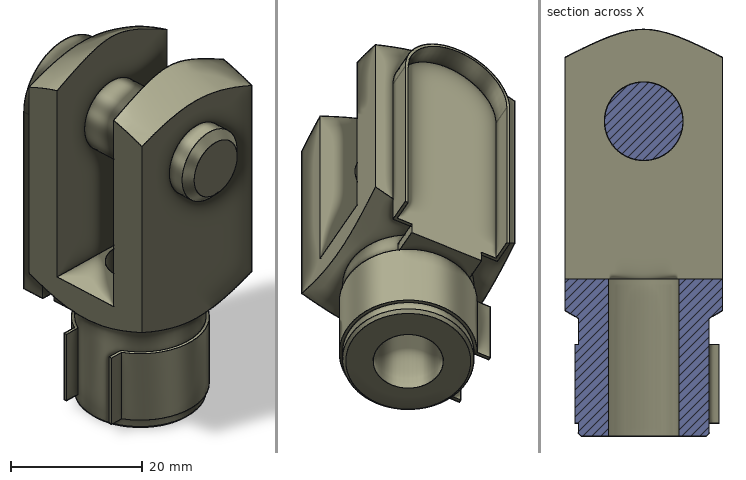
import cadquery as cq
import math

total_height = 62.0
fork_width = 24.0
slot_width = fork_width / 2
slot_floor_z = 24.0
cone_angle = math.radians(30)
neck_diameter = 20.0
neck_height = 18.0
neck_chamfer = 0.5
bore_diameter = 10.65

pin_diameter = slot_width
pin_z = 48.0
pin_end_x = 16.0
pin_chamfer = 1.3

sheet = 0.5
channel_width = 18.0
channel_depth = 4.0
channel_bottom_z = 16.0
tab_width = 12.0
band_bottom_z = 2.0
band_top_z = 14.0
lip_outer_x = 5.0
lip_end_y = 11.5

neck_radius = neck_diameter / 2
half_width = fork_width / 2


def make_fork():
    """Square bar with conical ends, a round neck, a through slot and a bore."""
    corner_radius = half_width * math.sqrt(2)
    tip_radius = slot_width / 2
    slope = math.tan(cone_angle)
    bottom_corner_z = neck_height + (corner_radius - neck_radius) * slope
    top_corner_z = total_height - (corner_radius - tip_radius) * slope
    cone_envelope = (
        cq.Workplane("XZ")
        .moveTo(0, neck_height)
        .lineTo(neck_radius, neck_height)
        .lineTo(corner_radius, bottom_corner_z)
        .lineTo(corner_radius, top_corner_z)
        .lineTo(tip_radius, total_height)
        .lineTo(0, total_height)
        .close()
        .revolve(360, (0, 0, 0), (0, 1, 0))
    )
    bar = cq.Workplane("XY").box(fork_width, fork_width, total_height, centered=(True, True, False))
    neck = cq.Workplane("XY").circle(neck_radius).extrude(neck_height).faces("<Z").chamfer(neck_chamfer)
    slot = (
        cq.Workplane("XY", origin=(0, 0, slot_floor_z))
        .rect(slot_width, fork_width)
        .extrude(total_height - slot_floor_z)
    )
    bore = cq.Workplane("XY").circle(bore_diameter / 2).extrude(slot_floor_z)
    return bar.intersect(cone_envelope).union(neck).cut(slot).cut(bore)


def make_pin():
    """Round pin from the outer -X face of the fork to its chamfered free end."""
    return (
        cq.Workplane("YZ", origin=(-half_width, 0, pin_z))
        .circle(pin_diameter / 2)
        .extrude(half_width + pin_end_x)
        .faces(">X")
        .chamfer(pin_chamfer)
    )


def arched_plate(start_x, width, bottom_z, depth):
    """Plate with a half-round top around the pin axis, running from start_x toward -X."""
    radius = width / 2
    return (
        cq.Workplane("YZ", origin=(start_x, 0, 0))
        .moveTo(-radius, bottom_z)
        .lineTo(-radius, pin_z)
        .threePointArc((0, pin_z + radius), (radius, pin_z))
        .lineTo(radius, bottom_z)
        .close()
        .extrude(-depth)
    )


def make_channel():
    """Arched channel on the -X face of the fork, open toward -X and at the bottom."""
    outside = arched_plate(-half_width, channel_width, channel_bottom_z, channel_depth)
    inside = arched_plate(
        -half_width - sheet, channel_width - 2 * sheet, channel_bottom_z, channel_depth - sheet
    )
    return outside.cut(inside)


def make_tab():
    """Tab that joins the channel floor to the neck, just above the band."""
    length = half_width + sheet
    height = channel_bottom_z - band_top_z
    base = cq.Workplane("XY", origin=(0, 0, band_top_z))
    neck_space = base.circle(neck_radius).extrude(height)
    return base.center(-length / 2, 0).rect(length, tab_width).extrude(height).cut(neck_space)


def make_band():
    """Band around the neck, open toward -Y, with a straight lip at each end."""
    height = band_top_z - band_bottom_z
    base = cq.Workplane("XY", origin=(0, 0, band_bottom_z))
    gap_half_width = lip_outer_x - sheet
    gap = base.center(0, -half_width / 2).rect(2 * gap_half_width, half_width).extrude(height)
    band = base.circle(neck_radius + sheet).circle(neck_radius).extrude(height).cut(gap)
    lip_start_y = math.sqrt(neck_radius**2 - lip_outer_x**2)
    for side in (-1, 1):
        lip = (
            base.center(side * (lip_outer_x - sheet / 2), -(lip_start_y + lip_end_y) / 2)
            .rect(sheet, lip_end_y - lip_start_y)
            .extrude(height)
        )
        band = band.union(lip)
    return band


result = make_fork().union(make_pin()).union(make_channel()).union(make_tab()).union(make_band())